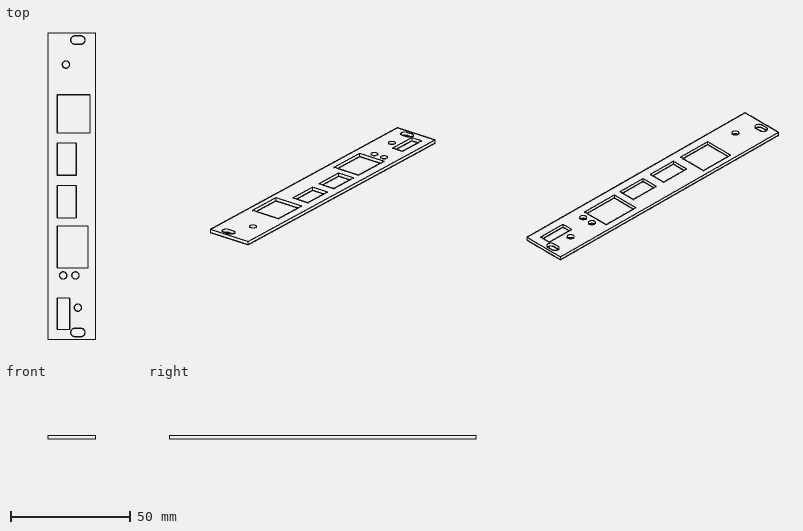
import cadquery as cq

panel_width = 20.0
panel_length = 128.4
panel_thickness = 1.5

slot_length = 5.9
slot_width = 3.5
slot_x = 2.6
slot_edge_distance = 3.0
slot_y = panel_length / 2 - slot_edge_distance

hole_diameter = 3.0
lower_hole_pair_y = -37.4
hole_centres = [
    (-2.5, 51.0),
    (-3.6, lower_hole_pair_y),
    (1.5, lower_hole_pair_y),
    (slot_x, -50.8),
]

window_left = -6.0
small_window_width = 7.8
small_window_height = 13.5
windows = [
    (13.6, 15.9, 38.3),
    (small_window_width, small_window_height, 18.1),
    (small_window_width, small_window_height, 0.3),
    (12.8, 17.5, -16.7),
    (5.1, 13.1, -46.9),
]


def cut_window(plate, width, height, top):
    """Cut a rectangular opening through the plate."""
    centre = (window_left + width / 2, top - height / 2)
    return plate.faces(">Z").workplane(origin=(0, 0, 0)).center(*centre).rect(width, height).cutThruAll()


result = cq.Workplane("XY").box(panel_width, panel_length, panel_thickness)

for window_width, window_height, window_top in windows:
    result = cut_window(result, window_width, window_height, window_top)

result = (
    result.faces(">Z").workplane(origin=(0, 0, 0))
    .pushPoints(hole_centres)
    .hole(hole_diameter)
)

result = (
    result.faces(">Z").workplane(origin=(0, 0, 0))
    .pushPoints([(slot_x, slot_y), (slot_x, -slot_y)])
    .slot2D(slot_length, slot_width)
    .cutThruAll()
)